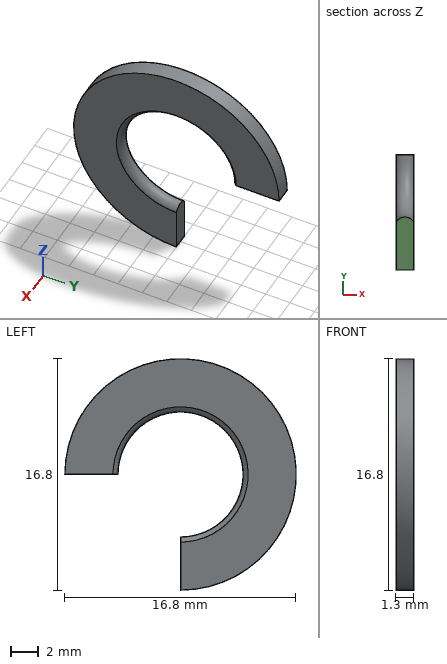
import cadquery as cq
import math

thickness = 1.3
outer_radius = 8.405
face_width = 3.5
bulge_radius = 0.75
sweep_angle = 270

half_thickness = thickness / 2
face_inner_radius = outer_radius - face_width
bulge_height = bulge_radius - math.sqrt(bulge_radius**2 - half_thickness**2)
bore_radius = face_inner_radius - bulge_height


def ring_section():
    """Radial section in the XY plane: X runs along the ring axis, Y along the radius."""
    return (
        cq.Workplane("XY")
        .moveTo(-half_thickness, face_inner_radius)
        .lineTo(-half_thickness, outer_radius)
        .lineTo(half_thickness, outer_radius)
        .lineTo(half_thickness, face_inner_radius)
        .threePointArc((0, bore_radius), (-half_thickness, face_inner_radius))
        .close()
    )


result = ring_section().revolve(sweep_angle, (0, 0, 0), (1, 0, 0))